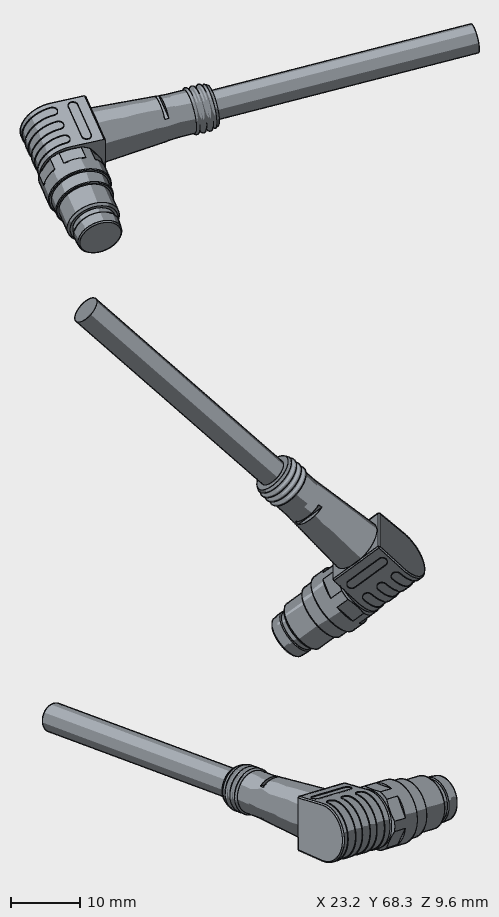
import cadquery as cq
import math


housing_half_length = 4.5
housing_radius = 4.45
housing_back_y = 5.6
housing_back_half_height = 4.2
housing_chamfer = 0.2

groove_width = 1.5
groove_spacing = 2.8
groove_depth = 0.15
groove_end_y = 0.75

label_length = 7.45
label_width = 1.45
label_y = 3.2
label_depth = 0.15

neck_radius = 2.95
collar_radius = 9.6 / 2
collar_start_x = 4.9
collar_end_x = 9.6
collar_start_chamfer_length = 0.2
collar_start_radius = 4.4
collar_end_chamfer = 0.15
shoulder_radius = 8.8 / 2
shoulder_end_x = 11.8
shoulder_chamfer = 0.15
sleeve_radius = 8.0 / 2
sleeve_end_x = 15.85
sleeve_chamfer = 0.35
tip_neck_radius = 6.5 / 2
tip_radius = 6.9 / 2
tip_start_x = 16.7
tip_land_start_x = 16.9
tip_land_end_x = 17.4
tip_end_x = 18.7
tip_end_radius = 3.35
tip_chamfer = 0.2

flat_count = 6
flat_distance = 4.5
flat_end_x = 7.25

boot_base_radius = 4.1
boot_radius = 6.5 / 2
boot_cone_end_y = 17.5
boot_end_y = 23.5
boot_end_radius = 3.1
ring_middle_radius = 6.6 / 2
ring_wave_height = 0.2
ring_pitch = 1.0
ring_count = 3
rings_start_y = 19.95
notch_start_y = 15.45
notch_width = 0.6
notch_floor_z = 2.45

cable_radius = 2.2
overall_length = 68.3
cable_end_y = overall_length - collar_radius


def housing_solid(inset=0.0):
    """Rounded housing with flanks tangent to its nose; `inset` moves the nose and flanks inward."""
    corner_distance = math.hypot(housing_back_y, housing_back_half_height)
    corner_angle = math.atan2(housing_back_half_height, housing_back_y)
    tangent_angle = corner_angle + math.acos(housing_radius / corner_distance)
    radius = housing_radius - inset
    tangent_y = radius * math.cos(tangent_angle)
    tangent_z = radius * math.sin(tangent_angle)
    back_half_height = (radius - housing_back_y * math.cos(tangent_angle)) / math.sin(tangent_angle)
    return (
        cq.Workplane("YZ", origin=(-housing_half_length, 0, 0))
        .moveTo(housing_back_y, -back_half_height)
        .lineTo(tangent_y, -tangent_z)
        .threePointArc((-radius, 0), (tangent_y, tangent_z))
        .lineTo(housing_back_y, back_half_height)
        .close()
        .extrude(2 * housing_half_length)
    )


def through_slot(length, width, x, y, along_y):
    """Vertical prism with a rounded-end outline, tall enough to pass through the housing."""
    return (
        cq.Workplane("XY")
        .center(x, y)
        .slot2D(length, width, 90 if along_y else 0)
        .extrude(2 * housing_radius, both=True)
    )


def housing():
    body = housing_solid().edges("<X or (|X and >Y)").chamfer(housing_chamfer)
    groove_length = 2 * housing_radius + groove_end_y
    groove_center_y = groove_end_y - groove_length / 2
    groove_skin = housing_solid().cut(housing_solid(groove_depth))
    for offset in (-groove_spacing, 0, groove_spacing):
        cutter = through_slot(groove_length, groove_width, offset, groove_center_y, True)
        body = body.cut(cutter.intersect(groove_skin))
    label_skin = housing_solid().cut(housing_solid(label_depth))
    label_cutter = through_slot(label_length, label_width, 0, label_y, False)
    return body.cut(label_cutter.intersect(label_skin))


def plug():
    outline = [
        (0, 0),
        (0, neck_radius),
        (collar_start_x, neck_radius),
        (collar_start_x, collar_start_radius),
        (collar_start_x + collar_start_chamfer_length, collar_radius),
        (collar_end_x - collar_end_chamfer, collar_radius),
        (collar_end_x, collar_radius - collar_end_chamfer),
        (collar_end_x, shoulder_radius),
        (shoulder_end_x - shoulder_chamfer, shoulder_radius),
        (shoulder_end_x, shoulder_radius - shoulder_chamfer),
        (shoulder_end_x, sleeve_radius),
        (sleeve_end_x - sleeve_chamfer, sleeve_radius),
        (sleeve_end_x, sleeve_radius - sleeve_chamfer),
        (sleeve_end_x, tip_neck_radius),
        (tip_start_x, tip_neck_radius),
        (tip_land_start_x, tip_radius),
        (tip_land_end_x, tip_radius),
        (tip_end_x - tip_chamfer, tip_end_radius),
        (tip_end_x, tip_end_radius - tip_chamfer),
        (tip_end_x, 0),
    ]
    body = cq.Workplane("XY").polyline(outline).close().revolve(360, (0, 0, 0), (1, 0, 0))
    flat_length = flat_end_x - collar_start_x
    for index in range(flat_count):
        cutter = (
            cq.Workplane("XY", origin=(collar_start_x, 0, flat_distance))
            .box(flat_length, 2 * collar_radius, collar_radius, centered=(False, True, False))
            .rotate((0, 0, 0), (1, 0, 0), index * 360 / flat_count)
        )
        body = body.cut(cutter)
    return body


def boot():
    profile = (
        cq.Workplane("XY")
        .moveTo(0, housing_back_y)
        .lineTo(boot_base_radius, housing_back_y)
        .lineTo(boot_radius, boot_cone_end_y)
        .lineTo(boot_radius, rings_start_y)
        .lineTo(ring_middle_radius, rings_start_y)
    )
    for index in range(ring_count):
        ring_y = rings_start_y + index * ring_pitch
        profile = profile.threePointArc(
            (ring_middle_radius + ring_wave_height, ring_y + ring_pitch / 4),
            (ring_middle_radius, ring_y + ring_pitch / 2),
        ).threePointArc(
            (ring_middle_radius - ring_wave_height, ring_y + ring_pitch * 3 / 4),
            (ring_middle_radius, ring_y + ring_pitch),
        )
    body = (
        profile.lineTo(boot_end_radius, boot_end_y)
        .lineTo(0, boot_end_y)
        .close()
        .revolve(360, (0, 0, 0), (0, 1, 0))
    )
    notch_height = boot_base_radius - notch_floor_z
    for side in (-1, 1):
        notch = cq.Workplane("XY").box(2 * boot_base_radius, notch_width, notch_height)
        notch_z = side * (notch_floor_z + notch_height / 2)
        body = body.cut(notch.translate((0, notch_start_y + notch_width / 2, notch_z)))
    return body


def cable():
    return cq.Workplane("XZ").circle(cable_radius).extrude(-cable_end_y)


result = housing().union(plug()).union(boot()).union(cable())